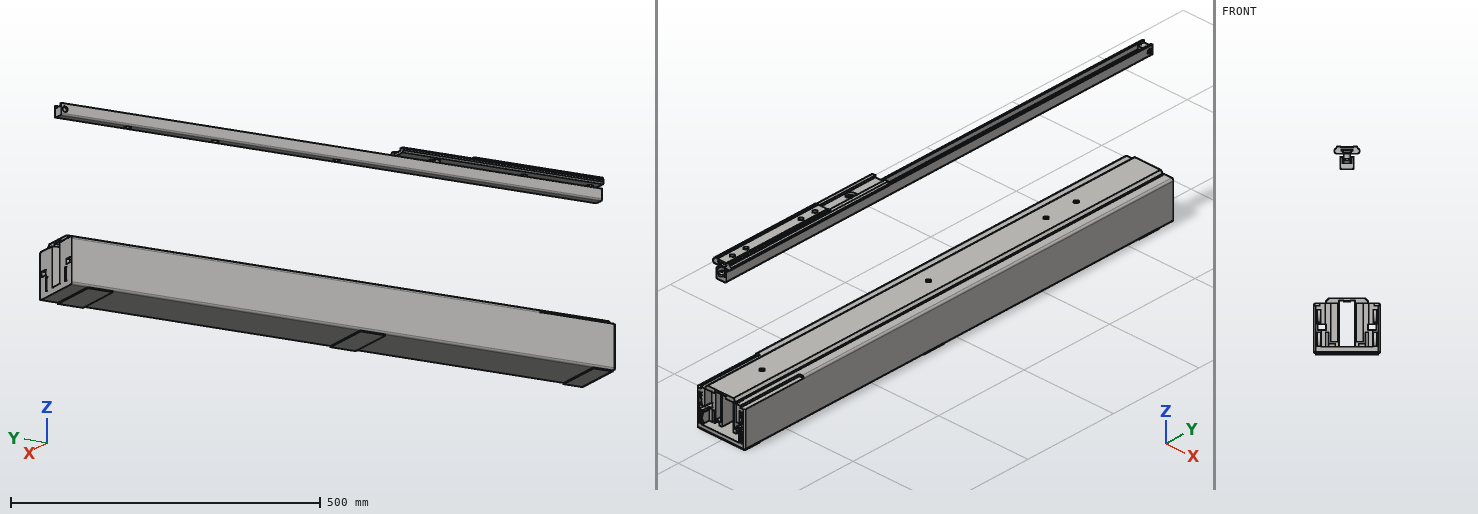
import cadquery as cq

SIDES = (-1, 1)

HOUSING_WIDTH = 108.0
HOUSING_FRONT = -501.0
HOUSING_REAR = 503.0
FOOT_HEIGHT = 2.0
SHOULDER_Z = 83.0
CORNER_RADIUS = 4.0
FRONT_CHAMFER = 3.0
FLOOR_Z = 13.0
CHANNEL_WIDTH = 25.0
REAR_WALL = 2.0

MOUTH_DEPTH = 17.0
UPPER_MOUTH_WIDTH = 70.0
LOWER_MOUTH_WIDTH = 82.0
LOWER_MOUTH_TOP = 39.0

TALL_CAVITY = (15.0, 26.0, 21.0, SHOULDER_Z)
LOW_CAVITY = (19.0, 29.0, FLOOR_Z, 18.0)
SIDE_SLOT = (34.0, 47.0, 40.0, 49.0)
TALL_SLOT = (30.0, 34.0, FLOOR_Z, 36.0)

BULGE_DIAMETER = 30.0
BULGE_SETBACK = 2.0
POCKET_DEPTH = 12.0
POCKET_INNER_X = 42.0
POCKET_OUTER_X = 48.0
POCKETS = ((50.0, 72.0, 66.0), (14.0, 36.0, 24.0))

NOTCH_X = 44.0
NOTCH_REAR = -362.0
NOTCH_DEPTH = 4.0

COVER_WIDTH = 68.0
COVER_REAR = 499.0
COVER_TOP = 91.0
COVER_CHAMFER = 5.0
COVER_SKIN = 4.0
COVER_HOLE_Y = (332.0, 261.0, -14.0, -403.0)
COVER_HOLE_DIAMETER = 9.0
BOSS_DIAMETER = 11.0
BOSS_HEIGHT = 2.0

FOOT_WIDTH = 101.0
FEET = ((448.0, 46.0), (-54.0, 46.0), (-479.0, 35.0))

RAIL_WIDTH = 22.0
RAIL_FRONT = -499.0
RAIL_REAR = 499.0
RAIL_BOTTOM = 300.0
RAIL_TOP = 320.0
RAIL_EDGE_RADIUS = 3.0
GROOVE_WIDTH = 15.0
GROOVE_FLOOR = 310.0
RAIL_HOLE_Y = (370.0, 209.0, -15.0)
RAIL_HOLE_DIAMETER = 11.0
END_BLOCK_LENGTH = 15.0
END_BLOCK_TOP = 316.0
END_HOLE_DIAMETER = 18.0
END_HOLE_Y = 492.0
CROSS_HOLE_DIAMETER = 9.0
BUTTON_DIAMETER = 11.0
BUTTON_FRONT = -503.0
BUTTON_TOP = 317.0
BUTTON_CHAMFER = 3.0

CARRIAGE_FRONT = -497.0
CARRIAGE_REAR = -127.0
CARRIAGE_BOTTOM = 325.0
CARRIAGE_LIP_TOP = 334.0
CARRIAGE_TOP = 337.0
CARRIAGE_WIDTH = 41.0
CARRIAGE_EDGE_CHAMFER = 3.0
RAISED_CHAMFER = 2.0
PLATE_REAR = -260.0
TRAY_WIDTH = 21.0
TRAY_FLOOR = 330.0
PLATE_RECESS = 1.0
GROOVE_TOP_WIDTH = 19.0
GROOVE_BOTTOM_WIDTH = 12.0
GROOVE_BOTTOM = 327.0
GROOVE_TOP = 332.0
PLATE_HOLE_Y = (-279.0, -312.0, -440.0, -473.0)
PLATE_HOLE_DIAMETER = 9.0
TRAY_HOLE_Y = -195.0
TRAY_HOLE_DIAMETER = 19.0
SPACER_Y = (-360.0, -482.0)
SPACER_DIAMETER = 11.0


def block(x0, x1, y0, y1, z0, z1):
    """Box between two opposite corners."""
    return cq.Workplane("XY").box(x1 - x0, y1 - y0, z1 - z0, centered=False).translate((x0, y0, z0))


def post(diameter, y, z0, z1):
    """Upright cylinder on the middle plane."""
    return cq.Workplane("XY", origin=(0, y, z0)).circle(diameter / 2).extrude(z1 - z0)


def side_block(side, x_inner, x_outer, y0, y1, z0, z1):
    """Box on one side of the middle plane."""
    x0, x1 = sorted((side * x_inner, side * x_outer))
    return block(x0, x1, y0, y1, z0, z1)


def make_pocket(side, z0, z1, bulge_z):
    """Shallow front pocket with a forward-bulging end."""
    y_end = HOUSING_FRONT + POCKET_DEPTH
    pocket = side_block(side, POCKET_INNER_X, POCKET_OUTER_X, HOUSING_FRONT, y_end, z0, z1)
    bulge_y = HOUSING_FRONT + BULGE_SETBACK + BULGE_DIAMETER / 2
    bulge = (
        cq.Workplane("YZ", origin=(0, bulge_y, bulge_z))
        .circle(BULGE_DIAMETER / 2)
        .extrude(HOUSING_WIDTH / 2, both=True)
    )
    return pocket.cut(bulge)


def make_housing():
    half = HOUSING_WIDTH / 2
    body = block(-half, half, HOUSING_FRONT, HOUSING_REAR, FOOT_HEIGHT, SHOULDER_Z)
    body = body.faces("<Y").edges("|Z or <Z").chamfer(FRONT_CHAMFER)
    body = body.edges("|Y").edges("<X or >X").fillet(CORNER_RADIUS)

    inner_rear = HOUSING_REAR - REAR_WALL
    half_channel = CHANNEL_WIDTH / 2
    body = body.cut(block(-half_channel, half_channel, HOUSING_FRONT, HOUSING_REAR, FLOOR_Z, SHOULDER_Z))

    mouth_rear = HOUSING_FRONT + MOUTH_DEPTH
    for width, top in ((UPPER_MOUTH_WIDTH, SHOULDER_Z), (LOWER_MOUTH_WIDTH, LOWER_MOUTH_TOP)):
        body = body.cut(block(-width / 2, width / 2, HOUSING_FRONT, mouth_rear, FLOOR_Z, top))

    for side in SIDES:
        for x0, x1, z0, z1 in (TALL_CAVITY, LOW_CAVITY):
            body = body.cut(side_block(side, x0, x1, HOUSING_FRONT, inner_rear, z0, z1))
        for x0, x1, z0, z1 in (SIDE_SLOT, TALL_SLOT):
            body = body.cut(side_block(side, x0, x1, HOUSING_FRONT, HOUSING_REAR, z0, z1))
        for z0, z1, bulge_z in POCKETS:
            body = body.cut(make_pocket(side, z0, z1, bulge_z))
        notch_bottom = SHOULDER_Z - NOTCH_DEPTH
        body = body.cut(side_block(side, NOTCH_X, half, HOUSING_FRONT, NOTCH_REAR, notch_bottom, SHOULDER_Z))
    return body


def make_cover():
    half = COVER_WIDTH / 2
    cover = block(-half, half, HOUSING_FRONT, COVER_REAR, SHOULDER_Z, COVER_TOP)
    cover = cover.faces(">Z").edges("|Y").chamfer(COVER_CHAMFER)
    skin_bottom = COVER_TOP - COVER_SKIN
    half_channel = CHANNEL_WIDTH / 2
    cover = cover.cut(block(-half_channel, half_channel, HOUSING_FRONT, COVER_REAR, SHOULDER_Z, skin_bottom))
    for y in COVER_HOLE_Y:
        boss_bottom = skin_bottom - BOSS_HEIGHT
        cover = cover.union(post(BOSS_DIAMETER, y, boss_bottom, skin_bottom))
        cover = cover.cut(post(COVER_HOLE_DIAMETER, y, boss_bottom, COVER_TOP))
    return cover


def make_foot(y, length):
    return block(-FOOT_WIDTH / 2, FOOT_WIDTH / 2, y - length / 2, y + length / 2, 0, FOOT_HEIGHT)


def make_rail():
    half = RAIL_WIDTH / 2
    half_groove = GROOVE_WIDTH / 2
    rail = block(-half, half, RAIL_FRONT, RAIL_REAR, RAIL_BOTTOM, RAIL_TOP)
    rail = rail.faces("<Z").edges("|Y").fillet(RAIL_EDGE_RADIUS)
    rail = rail.cut(block(-half_groove, half_groove, RAIL_FRONT, RAIL_REAR, GROOVE_FLOOR, RAIL_TOP))

    cross_hole = (
        cq.Workplane("YZ", origin=(0, END_HOLE_Y, GROOVE_FLOOR))
        .circle(CROSS_HOLE_DIAMETER / 2)
        .extrude(half, both=True)
    )
    core = block(-half_groove, half_groove, RAIL_FRONT, RAIL_REAR, RAIL_BOTTOM, RAIL_TOP)
    rail = rail.cut(cross_hole.cut(core))

    block_front = RAIL_REAR - END_BLOCK_LENGTH
    rail = rail.union(block(-half_groove, half_groove, block_front, RAIL_REAR, GROOVE_FLOOR, END_BLOCK_TOP))
    rail = rail.cut(post(END_HOLE_DIAMETER, END_HOLE_Y, END_BLOCK_TOP, RAIL_TOP))

    for y in RAIL_HOLE_Y:
        rail = rail.cut(post(RAIL_HOLE_DIAMETER, y, RAIL_BOTTOM, RAIL_TOP))

    button = post(BUTTON_DIAMETER, BUTTON_FRONT + BUTTON_DIAMETER / 2, GROOVE_FLOOR, BUTTON_TOP)
    return rail.union(button.faces(">Z").chamfer(BUTTON_CHAMFER))


def make_slide():
    """Solid slide with a raised front part, before the tray, groove and holes."""
    half = CARRIAGE_WIDTH / 2
    slide = block(-half, half, CARRIAGE_FRONT, CARRIAGE_REAR, CARRIAGE_BOTTOM, CARRIAGE_LIP_TOP)
    slide = slide.edges("|Y").chamfer(CARRIAGE_EDGE_CHAMFER)
    half_raised = half - CARRIAGE_EDGE_CHAMFER
    raised = block(-half_raised, half_raised, CARRIAGE_FRONT, PLATE_REAR, CARRIAGE_LIP_TOP, CARRIAGE_TOP)
    return slide.union(raised.faces(">Z").edges("|Y").chamfer(RAISED_CHAMFER))


def make_carriage():
    carriage = make_slide()

    half_tray = TRAY_WIDTH / 2
    carriage = carriage.cut(
        block(-half_tray, half_tray, PLATE_REAR, CARRIAGE_REAR, TRAY_FLOOR, CARRIAGE_LIP_TOP)
    )
    plate_face = CARRIAGE_TOP - PLATE_RECESS
    carriage = carriage.cut(
        block(-half_tray, half_tray, CARRIAGE_FRONT, PLATE_REAR, plate_face, CARRIAGE_TOP)
    )
    carriage = carriage.cut(post(TRAY_HOLE_DIAMETER, TRAY_HOLE_Y, CARRIAGE_BOTTOM, CARRIAGE_LIP_TOP))

    top_x = GROOVE_TOP_WIDTH / 2
    bottom_x = GROOVE_BOTTOM_WIDTH / 2
    groove = (
        cq.Workplane("XZ", origin=(0, PLATE_REAR, 0))
        .moveTo(-bottom_x, GROOVE_BOTTOM)
        .lineTo(bottom_x, GROOVE_BOTTOM)
        .lineTo(top_x, GROOVE_TOP)
        .lineTo(-top_x, GROOVE_TOP)
        .close()
        .extrude(PLATE_REAR - CARRIAGE_FRONT)
    )
    carriage = carriage.cut(groove)
    for y in PLATE_HOLE_Y:
        carriage = carriage.cut(post(PLATE_HOLE_DIAMETER, y, GROOVE_TOP, plate_face))

    for y in SPACER_Y:
        carriage = carriage.union(post(SPACER_DIAMETER, y, GROOVE_FLOOR, CARRIAGE_BOTTOM))
    return carriage


housing = make_housing()
cover = make_cover()
feet = [make_foot(y, length) for y, length in FEET]
rail = make_rail()
carriage = make_carriage()

bodies = [housing, cover, *feet, rail, carriage]
result = cq.Compound.makeCompound([body.solids().val() for body in bodies])